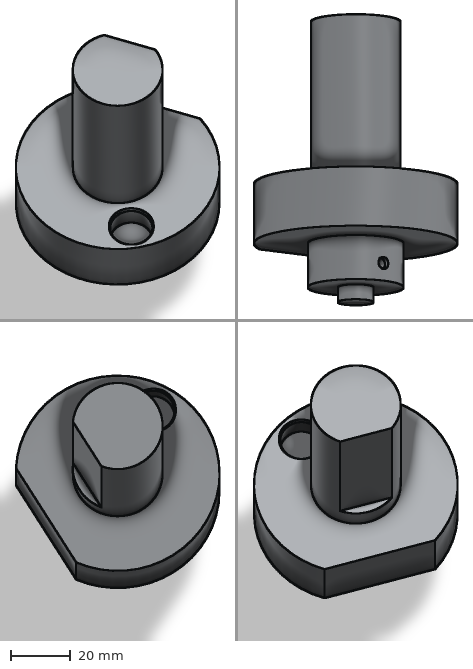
import cadquery as cq
import math

total_height = 95.0
pin_diameter = 12.0
pin_height = 5.0
boss_diameter = 32.0
flange_diameter = 68.0
flange_thickness = 20.0
shaft_diameter = 30.0
shaft_height = 55.0

flange_flat_offset = 28.0
shaft_flat_offset = 12.0
shaft_round_height = 7.0

pocket_diameter = 14.1
pocket_depth = 7.5
chamfer_width = 0.5
chamfer_depth = 0.95
pocket_pitch_radius = 25.0
pocket_angle = -60.0

drilling_diameter = 4.0
drilling_straight_depth = 2.0
drill_point_angle = 118.0
drilling_height_on_boss = 6.0

boss_bottom = pin_height
flange_top = total_height - shaft_height
flange_bottom = flange_top - flange_thickness
shaft_flat_bottom = flange_top + shaft_round_height


def cylinder(diameter, bottom, top):
    return cq.Workplane("XY").workplane(offset=bottom).circle(diameter / 2).extrude(top - bottom)


def cut_flat(body, diameter, offset, bottom, top):
    """Remove everything beyond the plane Y = offset between two levels."""
    waste = cq.Workplane("XY").box(diameter, diameter, top - bottom, centered=(True, False, False))
    return body.cut(waste.translate((0, offset, bottom)))


def make_pocket():
    x = pocket_pitch_radius * math.cos(math.radians(pocket_angle))
    y = pocket_pitch_radius * math.sin(math.radians(pocket_angle))
    radius = pocket_diameter / 2
    bore = cylinder(pocket_diameter, flange_top - pocket_depth, flange_top)
    rim_bottom = cq.Vector(0, 0, flange_top - chamfer_depth)
    rim = cq.Solid.makeCone(radius, radius + chamfer_width, chamfer_depth, rim_bottom)
    return bore.union(cq.Workplane(rim)).translate((x, y, 0))


def make_drilling():
    radius = drilling_diameter / 2
    point_depth = radius / math.tan(math.radians(drill_point_angle / 2))
    inward = cq.Vector(0, 1, 0)
    mouth = cq.Vector(0, -boss_diameter / 2, boss_bottom + drilling_height_on_boss)
    bore = cq.Solid.makeCylinder(radius, drilling_straight_depth, mouth, inward)
    point = cq.Solid.makeCone(radius, 0, point_depth, mouth + inward * drilling_straight_depth, inward)
    return cq.Workplane(bore).union(cq.Workplane(point))


pin = cylinder(pin_diameter, 0, boss_bottom)
boss = cylinder(boss_diameter, boss_bottom, flange_bottom)

flange = cylinder(flange_diameter, flange_bottom, flange_top)
flange = cut_flat(flange, flange_diameter, flange_flat_offset, flange_bottom, flange_top)

shaft = cylinder(shaft_diameter, flange_top, total_height)
shaft = cut_flat(shaft, shaft_diameter, shaft_flat_offset, shaft_flat_bottom, total_height)

result = pin.union(boss).union(flange).union(shaft).cut(make_pocket()).cut(make_drilling())